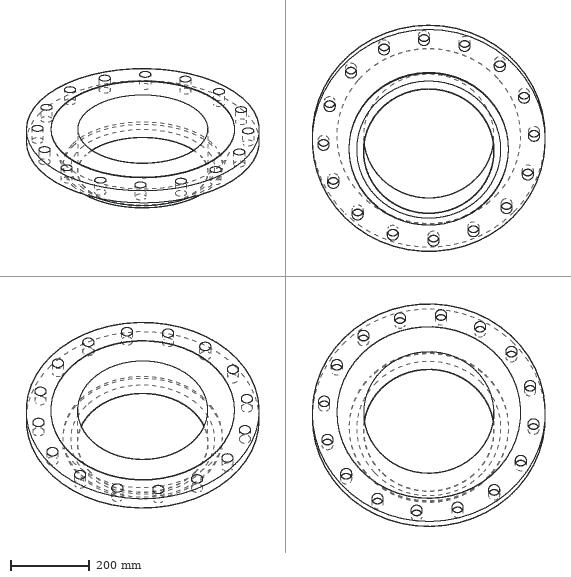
import cadquery as cq
import math

total_height = 128.5
flange_radius = 298.5
bore_radius = 166.5
raised_face_radius = 235.0
raised_face_height = 2.0
flange_thickness = 36.5

bolt_count = 16
bolt_circle_radius = 270.0
bolt_hole_diameter = 28.5

hub_cone_top_radius = 225.5
hub_end_radius = 204.0
hub_end_top = 24.0
hub_end_bottom = 17.0
hub_blend_height = 5.5

bevel_knee_radius = 184.5
bevel_knee_height = 13.0
weld_end_radius = 168.0

flange_top = total_height - raised_face_height
flange_bottom = flange_top - flange_thickness
hub_cone_top = flange_bottom - hub_blend_height

cone_angle = math.atan2(hub_cone_top - hub_end_top, hub_cone_top_radius - hub_end_radius)
blend_radius = hub_blend_height / (1 - math.cos(cone_angle))
blend_center_radius = hub_cone_top_radius + blend_radius * math.sin(cone_angle)
blend_middle = (
    blend_center_radius - blend_radius * math.sin(cone_angle / 2),
    flange_bottom - blend_radius * (1 - math.cos(cone_angle / 2)),
)


def make_body():
    """Revolve the half section (radius, height) about the Z axis."""
    return (
        cq.Workplane("XZ")
        .moveTo(bore_radius, 0)
        .lineTo(weld_end_radius, 0)
        .lineTo(bevel_knee_radius, bevel_knee_height)
        .lineTo(hub_end_radius, hub_end_bottom)
        .lineTo(hub_end_radius, hub_end_top)
        .lineTo(hub_cone_top_radius, hub_cone_top)
        .threePointArc(blend_middle, (blend_center_radius, flange_bottom))
        .lineTo(flange_radius, flange_bottom)
        .lineTo(flange_radius, flange_top)
        .lineTo(raised_face_radius, flange_top)
        .lineTo(raised_face_radius, total_height)
        .lineTo(bore_radius, total_height)
        .close()
        .revolve(360, (0, 0, 0), (0, 1, 0))
    )


def make_bolt_holes():
    """Cylinders through the flange, evenly spaced with one on the X axis."""
    return (
        cq.Workplane("XY")
        .workplane(offset=flange_bottom)
        .polarArray(bolt_circle_radius, 0, 360, bolt_count)
        .circle(bolt_hole_diameter / 2)
        .extrude(flange_thickness)
    )


result = make_body().cut(make_bolt_holes())